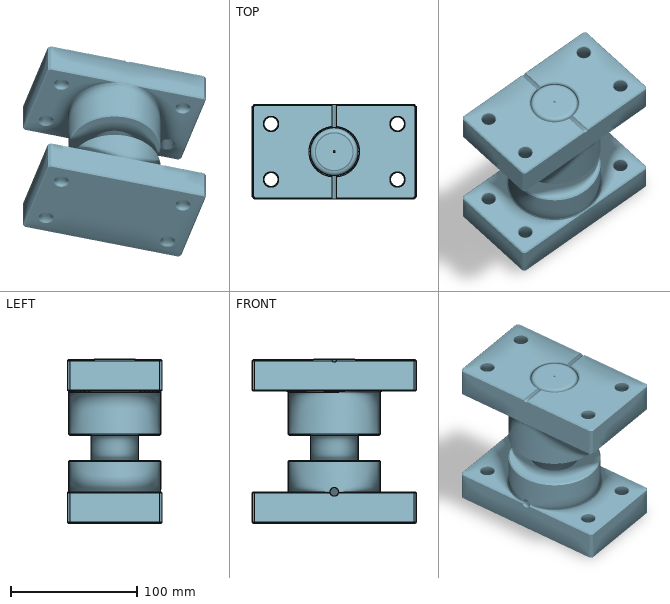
import cadquery as cq
plate_length = 130.0
plate_width = 75.0
total_height = 130.0

plate_thickness = 25.0
corner_chamfer = 2.0
edge_chamfer = 1.0

boss_diameter = 72.9
lower_boss_height = 25.0
upper_boss_height = 35.0
boss_edge_chamfer = 1.0
root_fillet = 1.0

relief_width = 1.4
relief_depth = 0.9

pin_diameter = 38.0
pin_end_radius = 4.0
pin_projection = 0.5
center_mark_diameter = 1.5
center_mark_depth = 1.5

bolt_spacing_x = 100.0
bolt_spacing_y = 44.0
bolt_hole_diameter = 11.0
bolt_hole_chamfer = 0.5

bore_chamfer = 1.0
vent_groove_radius = 2.0
vent_diameter = 6.8

pin_radius = pin_diameter / 2
boss_radius = boss_diameter / 2
upper_plate_top = total_height - pin_projection


def flange(boss_height):
    """Plate resting on Z = 0 with a round boss on top and a bore for the pin."""
    plate = (
        cq.Workplane("XY")
        .box(plate_length, plate_width, plate_thickness, centered=(True, True, False))
        .edges("|Z")
        .chamfer(corner_chamfer)
        .faces("<Z or >Z")
        .edges()
        .chamfer(edge_chamfer)
    )

    boss_top = plate_thickness + boss_height
    boss = (
        cq.Workplane("XY")
        .circle(boss_radius)
        .extrude(boss_top)
        .faces(">Z")
        .edges()
        .chamfer(boss_edge_chamfer)
    )
    bore = cq.Workplane("XY").circle(pin_radius).extrude(boss_top)
    return plate.union(boss).cut(bore).cut(bolt_holes())


def root_fillet_ring():
    """Concave fillet around the boss root, trimmed flush with the flat of the plate."""
    foot = boss_radius + root_fillet
    ring = (
        cq.Workplane("XZ")
        .moveTo(pin_radius, plate_thickness)
        .lineTo(foot, plate_thickness)
        .radiusArc((boss_radius, plate_thickness + root_fillet), root_fillet)
        .lineTo(pin_radius, plate_thickness + root_fillet)
        .close()
        .revolve(360, (0, 0), (0, 1))
    )
    flat_width = plate_width - 2 * edge_chamfer
    return ring.intersect(cq.Workplane("XY").box(plate_length, flat_width, 2 * total_height))


def relief_groove():
    """Groove cut into the plate around the boss: 45 degree outer face, rounded inner face."""
    return (
        cq.Workplane("XZ")
        .moveTo(boss_radius, plate_thickness)
        .lineTo(boss_radius + relief_width, plate_thickness)
        .lineTo(boss_radius + relief_width - relief_depth, plate_thickness - relief_depth)
        .radiusArc((boss_radius, plate_thickness), root_fillet)
        .close()
        .revolve(360, (0, 0), (0, 1))
    )


def bolt_holes():
    """Four through holes, chamfered at both faces of the plate."""
    radius = bolt_hole_diameter / 2
    mouth = radius + bolt_hole_chamfer
    hole = (
        cq.Workplane("XZ")
        .polyline([
            (0, 0),
            (mouth, 0),
            (radius, bolt_hole_chamfer),
            (radius, plate_thickness - bolt_hole_chamfer),
            (mouth, plate_thickness),
            (0, plate_thickness),
        ])
        .close()
        .revolve(360, (0, 0), (0, 1))
        .val()
    )
    return (
        cq.Workplane("XY")
        .rarray(bolt_spacing_x, bolt_spacing_y, 2, 2)
        .eachpoint(lambda place: hole.moved(place))
    )


def lower_flange():
    """Fixed flange with a relief groove and a vent hole from its front side into the bore."""
    vent = (
        cq.Workplane("XZ", origin=(0, 0, plate_thickness))
        .circle(vent_diameter / 2)
        .extrude(plate_width / 2)
    )
    return flange(lower_boss_height).cut(relief_groove()).cut(vent)


def upper_flange():
    """Moving flange, boss downwards, with a chamfered bore and a groove across its top."""
    body = (
        flange(upper_boss_height)
        .union(root_fillet_ring())
        .rotate((0, 0, 0), (1, 0, 0), 180)
        .translate((0, 0, upper_plate_top))
    )
    groove = (
        cq.Workplane("XZ", origin=(0, plate_width / 2, upper_plate_top))
        .circle(vent_groove_radius)
        .extrude(plate_width)
    )
    mouth = (
        cq.Workplane("XY", origin=(0, 0, upper_plate_top))
        .circle(pin_radius + bore_chamfer)
        .extrude(-bore_chamfer, taper=45)
    )
    return body.cut(groove).cut(mouth)


def guide_pin():
    """Pin from the base up through both bores, rounded and center-marked at its top."""
    return (
        cq.Workplane("XY")
        .circle(pin_radius)
        .extrude(total_height)
        .faces(">Z")
        .edges()
        .fillet(pin_end_radius)
        .faces(">Z")
        .workplane()
        .hole(center_mark_diameter, center_mark_depth)
    )


lower = lower_flange().solids()
upper = upper_flange().solids()
pin = guide_pin().solids()

result = cq.Compound.makeCompound([lower.val(), upper.val(), pin.val()])